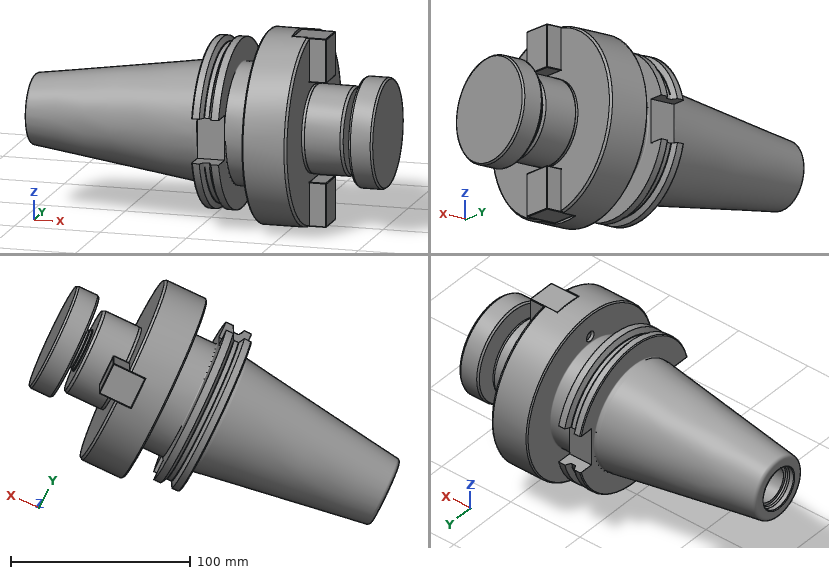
import cadquery as cq
import math


LENGTH = 205.6
BODY_DIA = 70.0
TAPER_LENGTH = 101.8
TAPER_RATIO = 7 / 24
TIP_FILLET = 2.3
CORNER_FILLET = 0.6

FLANGE_DIA = 97.5
FLANGE_START = 104.9
FLANGE_WIDTH = 15.8
FLANGE_CHAMFER = 0.6
GROOVE_DIA = 90.9
GROOVE_CENTRE = 112.9
GROOVE_FLOOR_WIDTH = 3.0
GROOVE_FLANK_ANGLE = 30.0
GROOVE_FILLET = 0.5
SLOT_WIDTH = 25.7
SLOT_FLOOR_FRONT = 35.0
SLOT_FLOOR_BACK = 37.5

COLLAR_DIA = 111.0
COLLAR_START = 136.5
COLLAR_END = 162.6
COLLAR_BACK_CHAMFER = 0.8
COLLAR_FRONT_CHAMFER_LENGTH = 1.5
COLLAR_FRONT_CHAMFER_DEPTH = 1.0
MARK_HOLE_DIA = 6.5
MARK_HOLE_DEPTH = 2.0
MARK_HOLE_RADIUS = 39.9

PILOT_DIA = 50.8
PILOT_END = 186.7
PILOT_CHAMFER_LENGTH = 1.6
PILOT_CHAMFER_DEPTH = 0.8
RELIEF_DIA = 50.4
RELIEF_LENGTH = 1.6

BORE_DIA = 22.0
BORE_DEPTH = 61.7
MOUTH_DIA = 27.8
MOUTH_CHAMFER = 0.51
RECESS_DIA = 26.7
RECESS_DEPTH = 3.3
STEP_DIA = 25.5
STEP_START = 4.3
STEP_DEPTH = 5.8

KEY_START = 152.5
KEY_END = 172.5
KEY_WIDTH = 19.0
KEY_INNER = 28.8
KEY_OUTER = 54.3
KEY_CHAMFER = 0.5
KEY_ANGLES = (0, 180)

HEAD_DIA = 63.0
HEAD_START = 191.6
HEAD_CHAMFER_LENGTH = 1.2
HEAD_CHAMFER_DEPTH = 0.8
SHANK_DIA = 23.9
SHANK_START = 156.3
RING_DIA = 25.5
RING_LENGTH = 0.6
NECK_DIA = 23.5
NECK_START = 189.0
NECK_LENGTH = 1.5
NECK_LEAD_IN = 0.6


def revolve_about_x(profile):
    """Solid of revolution from (x, radius) points, closed along the X axis."""
    start = (profile[0][0], 0)
    end = (profile[-1][0], 0)
    outline = cq.Workplane("XY").polyline([start, *profile, end]).close()
    return outline.revolve(360, (0, 0, 0), (1, 0, 0))


def cylinder_along_x(start, end, diameter, z=0):
    return cq.Workplane("YZ", origin=(start, 0, z)).circle(diameter / 2).extrude(end - start)


def make_taper():
    tip_radius = (BODY_DIA - TAPER_LENGTH * TAPER_RATIO) / 2
    taper = revolve_about_x([
        (0, tip_radius),
        (TAPER_LENGTH, BODY_DIA / 2),
        (COLLAR_START, BODY_DIA / 2),
    ])
    return taper.faces("<X").edges().fillet(TIP_FILLET)


def make_corner_fillet(wall_x, direction):
    """Ring that rounds the corner between the body and a wall; direction points away from the wall."""
    radius = BODY_DIA / 2
    centre_x = wall_x + direction * CORNER_FILLET
    centre_radius = radius + CORNER_FILLET
    diagonal = CORNER_FILLET * math.sqrt(0.5)
    section = (
        cq.Workplane("XY")
        .moveTo(wall_x, radius)
        .lineTo(wall_x, centre_radius)
        .threePointArc((centre_x - direction * diagonal, centre_radius - diagonal), (centre_x, radius))
        .close()
    )
    return section.revolve(360, (0, 0, 0), (1, 0, 0))


def make_flange():
    end = FLANGE_START + FLANGE_WIDTH
    radius = FLANGE_DIA / 2
    groove_radius = GROOVE_DIA / 2
    floor_half = GROOVE_FLOOR_WIDTH / 2
    top_half = floor_half + (radius - groove_radius) * math.tan(math.radians(GROOVE_FLANK_ANGLE))
    flange = revolve_about_x([
        (FLANGE_START, radius - FLANGE_CHAMFER),
        (FLANGE_START + FLANGE_CHAMFER, radius),
        (GROOVE_CENTRE - top_half, radius),
        (GROOVE_CENTRE - floor_half, groove_radius),
        (GROOVE_CENTRE + floor_half, groove_radius),
        (GROOVE_CENTRE + top_half, radius),
        (end, radius),
    ])
    groove_corners = flange.edges(cq.selectors.RadiusNthSelector(0))
    flange = groove_corners.fillet(GROOVE_FILLET)
    for side, floor in ((-1, SLOT_FLOOR_FRONT), (1, SLOT_FLOOR_BACK)):
        slot = cq.Workplane("XY").box(FLANGE_WIDTH, FLANGE_DIA, SLOT_WIDTH)
        slot_centre_y = side * (floor + FLANGE_DIA / 2)
        flange = flange.cut(slot.translate((FLANGE_START + FLANGE_WIDTH / 2, slot_centre_y, 0)))
    return flange


def make_collar():
    radius = COLLAR_DIA / 2
    return revolve_about_x([
        (COLLAR_START, radius - COLLAR_BACK_CHAMFER),
        (COLLAR_START + COLLAR_BACK_CHAMFER, radius),
        (COLLAR_END - COLLAR_FRONT_CHAMFER_LENGTH, radius),
        (COLLAR_END, radius - COLLAR_FRONT_CHAMFER_DEPTH),
    ])


def make_pilot():
    relief_end = COLLAR_END + RELIEF_LENGTH
    return revolve_about_x([
        (COLLAR_END, RELIEF_DIA / 2),
        (relief_end, RELIEF_DIA / 2),
        (relief_end, PILOT_DIA / 2),
        (PILOT_END - PILOT_CHAMFER_LENGTH, PILOT_DIA / 2),
        (PILOT_END, PILOT_DIA / 2 - PILOT_CHAMFER_DEPTH),
    ])


def make_bore():
    return revolve_about_x([
        (0, MOUTH_DIA / 2),
        (MOUTH_CHAMFER, RECESS_DIA / 2),
        (RECESS_DEPTH, RECESS_DIA / 2),
        (STEP_START, STEP_DIA / 2),
        (STEP_DEPTH, STEP_DIA / 2),
        (STEP_DEPTH, BORE_DIA / 2),
        (BORE_DEPTH, BORE_DIA / 2),
    ])


def key_block(outer):
    """Plain block on the +Z side, from the inner side of the key out to the given height."""
    block = cq.Workplane("XY").box(KEY_END - KEY_START, KEY_WIDTH, outer - KEY_INNER)
    return block.translate(((KEY_START + KEY_END) / 2, 0, (KEY_INNER + outer) / 2))


def at_key_side(shape, angle):
    """The shape turned about the X axis to the place of one key."""
    return shape.rotate((0, 0, 0), (1, 0, 0), angle)


def make_key(angle):
    return at_key_side(key_block(KEY_OUTER).edges().chamfer(KEY_CHAMFER), angle)


def make_screw():
    head_radius = HEAD_DIA / 2
    neck_end = NECK_START + NECK_LENGTH
    return revolve_about_x([
        (SHANK_START, SHANK_DIA / 2),
        (PILOT_END, SHANK_DIA / 2),
        (PILOT_END, RING_DIA / 2),
        (PILOT_END + RING_LENGTH, RING_DIA / 2),
        (PILOT_END + RING_LENGTH, SHANK_DIA / 2),
        (NECK_START - NECK_LEAD_IN, SHANK_DIA / 2),
        (NECK_START, NECK_DIA / 2),
        (neck_end, NECK_DIA / 2),
        (neck_end, SHANK_DIA / 2),
        (HEAD_START, SHANK_DIA / 2),
        (HEAD_START, head_radius - HEAD_CHAMFER_DEPTH),
        (HEAD_START + HEAD_CHAMFER_LENGTH, head_radius),
        (LENGTH - HEAD_CHAMFER_LENGTH, head_radius),
        (LENGTH, head_radius - HEAD_CHAMFER_DEPTH),
    ])


def make_arbor():
    arbor = make_taper().union(make_flange()).union(make_collar()).union(make_pilot())
    corners = ((FLANGE_START, -1), (FLANGE_START + FLANGE_WIDTH, 1), (COLLAR_START, -1))
    for wall_x, direction in corners:
        arbor = arbor.union(make_corner_fillet(wall_x, direction))
    arbor = arbor.cut(make_bore())
    arbor = arbor.cut(cylinder_along_x(SHANK_START, PILOT_END, SHANK_DIA))
    mark_hole_end = COLLAR_START + MARK_HOLE_DEPTH
    arbor = arbor.cut(cylinder_along_x(COLLAR_START, mark_hole_end, MARK_HOLE_DIA, MARK_HOLE_RADIUS))
    key_slot = key_block(COLLAR_DIA / 2)
    for angle in KEY_ANGLES:
        arbor = arbor.cut(at_key_side(key_slot, angle))
    return arbor


arbor = make_arbor()
screw = make_screw()
keys = [make_key(angle) for angle in KEY_ANGLES]

result = cq.Compound.makeCompound([arbor.val(), screw.val(), *[key.val() for key in keys]])